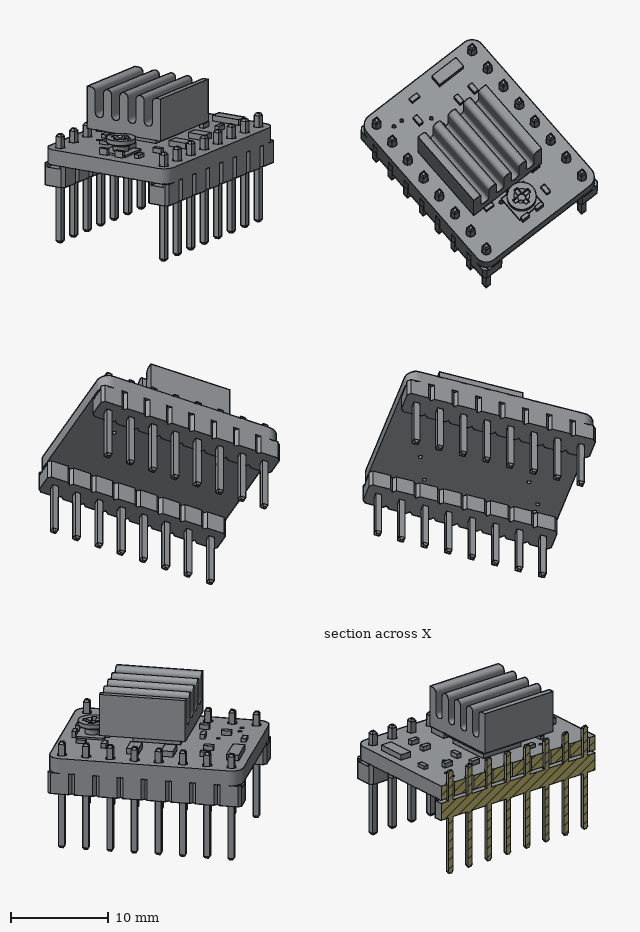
import cadquery as cq


pitch = 2.54
pins_per_row = 8
pitches_across = 6
board_x = pitches_across * pitch
board_y = pins_per_row * pitch
board_thickness = 1.62
board_corner_radius = pitch / 2
row_offset = (board_x - pitch) / 2
pin_hole_diameter = 0.96
via_diameter = 0.38
via_centres = [(-5.07, 7.62), (-4.06, 7.62), (-1.54, 5.87), (-1.83, -5.76), (-4.56, -4.45)]

header_height = 2.27
header_chamfer = 0.32
header_channel_width = 1.52
header_channel_depth = 0.32
pin_width = 0.62
pin_tip_length = 0.23
pin_tip_inset = 0.15
pin_top = 1.41
overall_height = 16.04

chip_centre = (-1.27, 0.0)
chip_size = 5.0
chip_standoff = 0.05
chip_solder_size = 3.4
chip_top = 0.88
thermal_pad_size = 6.0
thermal_pad_thickness = 0.5
heat_sink_centre = (-0.76, -1.01)
heat_sink_height = 4.5
fin_width = 1.0
fin_count = 5
heat_sink_size = (2 * fin_count - 1) * fin_width
fin_slot_depth = 3.12
heat_sink_bottom = chip_top + thermal_pad_thickness
heat_sink_top = heat_sink_bottom + heat_sink_height
pin_bottom = heat_sink_top - overall_height

trimmer_centre = (-0.12, -7.01)
trimmer_base_size = 3.0
trimmer_base_height = 0.2
rotor_radius = 1.5
rotor_neck_radius = 0.8
rotor_cone_bottom = 0.75
rotor_rim_bottom = 1.1
rotor_top = 1.56
recess_top_radius = 0.8
recess_cone_depth = 0.2
recess_bore_radius = 0.4
recess_depth = 0.6
cross_slot_length = 2.0
cross_slot_width = 0.46
cross_slot_depth = 0.45
terminal_height = 0.67
front_terminal_width = 0.92
front_terminal_spacing = 1.86
back_terminal_width = 1.24
back_terminal_length = 1.2
terminal_overhang = 0.38

resistor = (1.0, 0.5, 0.36)
capacitor = (1.0, 0.5, 0.5)
sense_resistor = (2.0, 1.25, 0.6)
large_resistor = (3.2, 1.25, 0.6)
components_along_x = [
    (resistor, (-1.52, 8.63)),
    (resistor, (-3.16, -5.37)),
    (capacitor, (-1.52, 4.30)),
    (capacitor, (3.18, -5.07)),
    (large_resistor, (2.90, 8.63)),
    (sense_resistor, (3.80, 1.80)),
    (sense_resistor, (3.80, -1.81)),
]
components_along_y = [
    (resistor, (2.54, -7.65)),
    (resistor, (-4.53, -3.05)),
    (capacitor, (-2.80, 6.48)),
    (capacitor, (1.88, 5.59)),
    (capacitor, (3.78, 5.59)),
    (capacitor, (-4.08, 3.94)),
]


def block(size_x, size_y, z_bottom, z_top, centre):
    """Rectangular block centred on an XY point."""
    return (
        cq.Workplane("XY", origin=(centre[0], centre[1], z_bottom))
        .rect(size_x, size_y)
        .extrude(z_top - z_bottom)
    )


def pin_centres_y():
    """Y positions of the pins in a row, centred on the board."""
    return [(index - (pins_per_row - 1) / 2) * pitch for index in range(pins_per_row)]


def make_board():
    """Rounded plate with clearance holes for the pins and small vias."""
    board = block(board_x, board_y, -board_thickness, 0, (0, 0))
    board = board.edges("|Z").fillet(board_corner_radius)
    pin_points = [(x, y) for x in (-row_offset, row_offset) for y in pin_centres_y()]
    for points, diameter in ((pin_points, pin_hole_diameter), (via_centres, via_diameter)):
        board = board.faces(">Z").workplane(origin=(0, 0, 0)).pushPoints(points).hole(diameter)
    return board


def make_pin(x, y):
    """Square pin with tapered tips at both ends."""
    pin = block(pin_width, pin_width, pin_bottom, pin_top, (x, y))
    return pin.faces("<Z or >Z").chamfer(pin_tip_length, pin_tip_inset)


def make_header(x):
    """One row: a chamfered cell and a pin per position, with a channel along the top."""
    top = -board_thickness
    bottom = top - header_height
    channel = block(header_channel_width, board_y, top - header_channel_depth, top, (x, 0))
    cells = None
    for y in pin_centres_y():
        cell = block(pitch, pitch, bottom, top, (x, y)).edges("|Z").chamfer(header_chamfer)
        cells = cell if cells is None else cells.union(cell)
    header = cells.cut(channel)
    for y in pin_centres_y():
        header = header.union(make_pin(x, y))
    return header


def make_chip():
    """Chip body raised on a solder area, with the thermal pad on top."""
    solder = block(chip_solder_size, chip_solder_size, 0, chip_standoff, chip_centre)
    body = block(chip_size, chip_size, chip_standoff, chip_top, chip_centre)
    pad = block(thermal_pad_size, thermal_pad_size, chip_top, heat_sink_bottom, chip_centre)
    return solder.union(body).union(pad)


def make_heat_sink():
    """Fins run along Y; slot floors and fin tips are fully rounded."""
    centre_x, centre_y = heat_sink_centre
    radius = fin_width / 2
    left = -heat_sink_size / 2
    slot_arc_z = heat_sink_top - fin_slot_depth + radius
    tip_arc_z = heat_sink_top - radius
    profile = cq.Workplane("XZ", origin=(centre_x, centre_y + heat_sink_size / 2, 0))
    profile = profile.moveTo(left, heat_sink_bottom).lineTo(left, heat_sink_top)
    profile = profile.lineTo(left + radius, heat_sink_top)
    profile = profile.radiusArc((left + fin_width, tip_arc_z), radius)
    for index in range(fin_count - 1):
        slot_left = left + (2 * index + 1) * fin_width
        slot_right = slot_left + fin_width
        profile = profile.lineTo(slot_left, slot_arc_z)
        profile = profile.radiusArc((slot_right, slot_arc_z), -radius)
        profile = profile.lineTo(slot_right, tip_arc_z)
        profile = profile.radiusArc((slot_right + radius, heat_sink_top), radius)
        if index < fin_count - 2:
            profile = profile.radiusArc((slot_right + fin_width, tip_arc_z), radius)
    profile = profile.lineTo(-left, heat_sink_top).lineTo(-left, heat_sink_bottom)
    return profile.close().extrude(heat_sink_size)


def make_rotor():
    """Turned rotor with a tapered recess and a cross slot in its top."""
    recess_floor = rotor_top - recess_depth
    outline = [
        (0, 0),
        (rotor_neck_radius, 0),
        (rotor_neck_radius, rotor_cone_bottom),
        (rotor_radius, rotor_rim_bottom),
        (rotor_radius, rotor_top),
        (recess_top_radius, rotor_top),
        (recess_bore_radius, rotor_top - recess_cone_depth),
        (recess_bore_radius, recess_floor),
        (0, recess_floor),
    ]
    centre_x, centre_y = trimmer_centre
    rotor = cq.Workplane("XZ", origin=(centre_x, centre_y, 0)).polyline(outline).close().revolve()
    slot_floor = rotor_top - cross_slot_depth
    for size_x, size_y in (
        (cross_slot_length, cross_slot_width),
        (cross_slot_width, cross_slot_length),
    ):
        rotor = rotor.cut(block(size_x, size_y, slot_floor, rotor_top, trimmer_centre))
    return rotor


def make_trimmer():
    """Square base plate, rotor, two front terminals and one back terminal."""
    centre_x, centre_y = trimmer_centre
    half_base = trimmer_base_size / 2
    trimmer = block(trimmer_base_size, trimmer_base_size, 0, trimmer_base_height, trimmer_centre)
    trimmer = trimmer.union(make_rotor())
    front_y = centre_y - half_base - terminal_overhang / 2
    for side in (-1, 1):
        point = (centre_x + side * front_terminal_spacing / 2, front_y)
        trimmer = trimmer.union(block(front_terminal_width, terminal_overhang, 0, terminal_height, point))
    back_y = centre_y + half_base + terminal_overhang - back_terminal_length / 2
    back_terminal = block(
        back_terminal_width, back_terminal_length, 0, terminal_height, (centre_x, back_y)
    )
    return trimmer.union(back_terminal)


result = make_board().union(make_chip()).union(make_heat_sink()).union(make_trimmer())
for x in (-row_offset, row_offset):
    result = result.union(make_header(x))
for (length, width, height), centre in components_along_x:
    result = result.union(block(length, width, 0, height, centre))
for (length, width, height), centre in components_along_y:
    result = result.union(block(width, length, 0, height, centre))